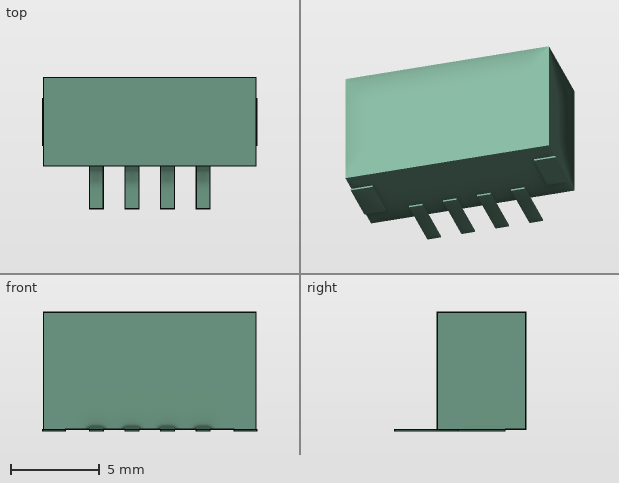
import cadquery as cq

overall_length = 12.08
overall_depth = 7.4
overall_height = 6.7
metal_thickness = 0.1

housing_length = 12.0
housing_depth = 5.0
housing_height = overall_height - metal_thickness
housing_front = -housing_depth / 2
housing_back = housing_depth / 2

lead_count = 4
lead_pitch = 2.0
lead_width = 0.8
lead_front = housing_back - overall_depth

pad_length = 1.28
pad_depth = 2.67
pad_back_inset = 1.17
pad_back = housing_back - pad_back_inset
pad_front = pad_back - pad_depth
pad_offset = (overall_length - pad_length) / 2

lead_back = pad_front


def make_block(x_center, y_front, y_back, z_bottom, length, height):
    """Rectangular block centred on x_center along X."""
    depth = y_back - y_front
    corner = (x_center - length / 2, y_front, z_bottom)
    return cq.Workplane("XY").box(length, depth, height, centered=False).translate(corner)


def make_housing():
    return make_block(0, housing_front, housing_back, metal_thickness, housing_length, housing_height)


def make_lead(x_center):
    return make_block(x_center, lead_front, lead_back, 0, lead_width, metal_thickness)


def make_end_pad(x_center):
    return make_block(x_center, pad_front, pad_back, 0, pad_length, metal_thickness)


housing = make_housing()

leads = []
for index in range(lead_count):
    lead_x = (index - (lead_count - 1) / 2) * lead_pitch
    leads.append(make_lead(lead_x).val())

end_pads = []
for side in (-1, 1):
    end_pads.append(make_end_pad(side * pad_offset).val())

result = cq.Compound.makeCompound([housing.val(), *leads, *end_pads])